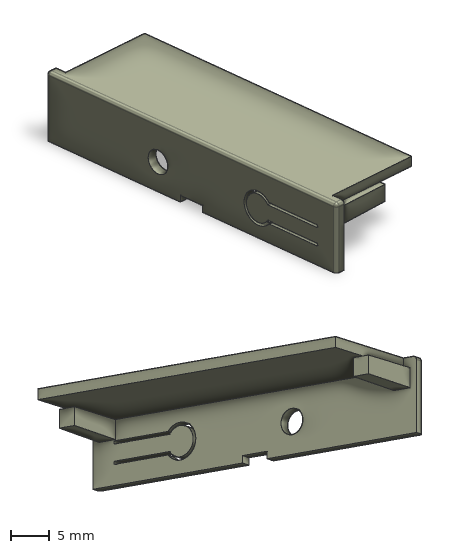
import cadquery as cq

plate_width = 52.2
plate_height = 10.25
wall = 1.45
edge_radius = 0.5

shelf_width = 48.0
total_depth = 16.2

tab_span = 50.2
tab_width = 2.6
tab_depth = 8.8
tab_tip_inset = 0.15
tab_height = 2.65

opening_height = 4.4
hole_x = -6.0
hole_diameter = 3.5
notch_width = 3.95
notch_height = 1.0

button_x = 12.0
slit_width = 0.4
slit_outer_radius = 2.5
button_radius = slit_outer_radius - slit_width
arm_spacing = 2.7
arm_end_x = 22.7


def box(x_min, x_max, y_min, y_max, z_min, z_max):
    """Make a block from its limits along each axis."""
    size = (x_max - x_min, y_max - y_min, z_max - z_min)
    return cq.Workplane("XY").box(*size, centered=False).translate((x_min, y_min, z_min))


def plate_cylinder(x, radius):
    """Make a cylinder through the plate thickness at the opening height."""
    return cq.Workplane("XZ").center(x, opening_height).circle(radius).extrude(-wall)


def make_plate():
    """Make the plate with its front, upper and end edges rounded."""
    plate = box(-plate_width / 2, plate_width / 2, 0, wall, 0, plate_height)
    front_edges = plate.faces("<Y").edges("|Z or >Z")
    top_corners = plate.faces(">Z").edges("|Y")
    return front_edges.add(top_corners).fillet(edge_radius)


def make_shelf():
    """Make the flat shelf, overlapping the plate behind its rounded front edge."""
    return box(
        -shelf_width / 2, shelf_width / 2, edge_radius, total_depth, plate_height - wall, plate_height
    )


def make_tab(side):
    """Make one tab, narrowing slightly to its tip; side is -1 for the left end and 1 for the right."""
    outer_x = side * tab_span / 2
    inner_x = outer_x - side * tab_width
    tip_outer_x = outer_x - side * tab_tip_inset
    tab_top = plate_height - wall
    tab_bottom = tab_top - tab_height
    tip_y = wall + tab_depth
    plan = [
        (inner_x, edge_radius),
        (outer_x, edge_radius),
        (outer_x, wall),
        (tip_outer_x, tip_y),
        (inner_x, tip_y),
    ]
    side_outline = [
        (edge_radius, tab_top),
        (edge_radius, tab_bottom),
        (wall, tab_bottom),
        (tip_y, tab_bottom + tab_tip_inset),
        (tip_y, tab_top),
    ]
    body = cq.Workplane("XY").workplane(offset=tab_bottom).polyline(plan).close().extrude(tab_height)
    profile = cq.Workplane("YZ").polyline(side_outline).close().extrude(plate_width / 2, both=True)
    return body.intersect(profile)


def make_slit():
    """Make the keyhole slit: an open ring leading into two parallel arms."""
    arm_length = arm_end_x - button_x
    slit = plate_cylinder(button_x, slit_outer_radius)
    for side in (-1, 1):
        arm_z = opening_height + side * arm_spacing / 2
        arm = (
            cq.Workplane("XZ")
            .center(button_x + arm_length / 2, arm_z)
            .slot2D(arm_length, slit_width)
            .extrude(-wall)
        )
        slit = slit.union(arm)
    neck_half_height = (arm_spacing - slit_width) / 2
    neck = box(
        button_x, arm_end_x, 0, wall,
        opening_height - neck_half_height, opening_height + neck_half_height,
    )
    return slit.cut(plate_cylinder(button_x, button_radius)).cut(neck)


result = make_plate().union(make_shelf())
for end in (-1, 1):
    result = result.union(make_tab(end))

notch = box(-notch_width / 2, notch_width / 2, 0, wall, 0, notch_height)
hole = plate_cylinder(hole_x, hole_diameter / 2)
result = result.cut(notch).cut(hole).cut(make_slit())